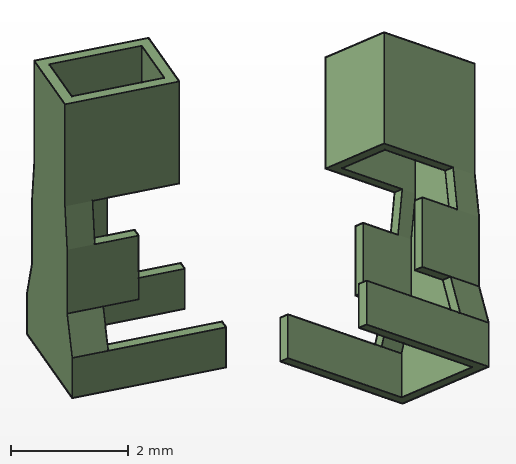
import cadquery as cq

height = 5.7
wall = 0.2

base_width = 2.2
crimp_width = 1.71
box_width = 1.495

base_depth = 2.8
crimp_depth = 1.3
box_depth = 2.08
lower_web_depth = 0.655
upper_web_depth = 0.5

base_top = 0.81
crimp_bottom = 1.555
crimp_top = 2.84
box_bottom = 3.65


def loft_block(bottom_z, top_z, bottom_width, top_width, depth, front=0.0):
    """Block centred on X whose width changes evenly from bottom to top."""
    outline = [
        (-bottom_width / 2, bottom_z),
        (bottom_width / 2, bottom_z),
        (top_width / 2, top_z),
        (-top_width / 2, top_z),
    ]
    block = cq.Workplane("XZ").polyline(outline).close().extrude(-depth)
    return block.translate((0, front, 0))


def channel(bottom_z, top_z, bottom_width, top_width, depth):
    """U-shaped section: plate on the -Y side with a wing on each side."""
    outer = loft_block(bottom_z, top_z, bottom_width, top_width, depth)
    hollow = loft_block(
        bottom_z, top_z, bottom_width - 2 * wall, top_width - 2 * wall, depth, wall
    )
    return outer.cut(hollow)


base = channel(0, base_top, base_width, base_width, base_depth)
lower_web = channel(base_top, crimp_bottom, base_width, crimp_width, lower_web_depth)
crimp = channel(crimp_bottom, crimp_top, crimp_width, crimp_width, crimp_depth)
upper_web = channel(crimp_top, box_bottom, crimp_width, box_width, upper_web_depth)

box = loft_block(box_bottom, height, box_width, box_width, box_depth)
box_opening = loft_block(
    box_bottom, height, box_width - 2 * wall, box_width - 2 * wall, box_depth - 2 * wall, wall
)
box = box.cut(box_opening)

result = base.union(lower_web).union(crimp).union(upper_web).union(box)